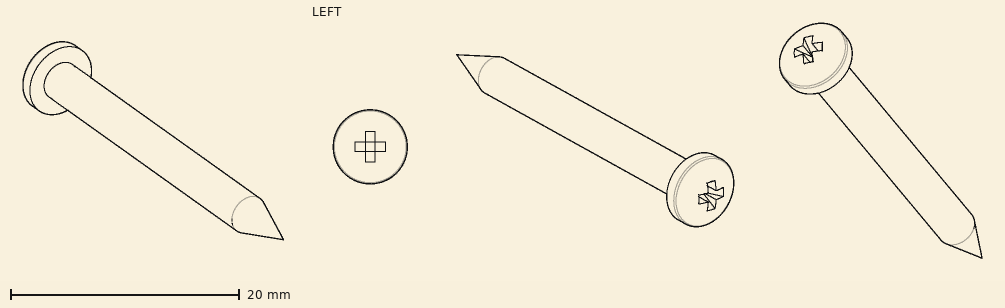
import cadquery as cq
import math

total_length = 37.35
shank_radius = 1.75
tip_length = 5.53
head_radius = 3.25
head_height = 2.3
dome_edge_x = 1.1
dome_edge_radius = 3.15
rim_start_x = 1.27

slot_width = 0.85
slot_length = 2.7
slot_depth = 2.05
center_cone_depth = 0.3

corner_radius = slot_width / math.sqrt(2)
sphere_center_x = (dome_edge_x**2 + dome_edge_radius**2 - corner_radius**2) / (2 * dome_edge_x)
sphere_radius = math.hypot(sphere_center_x, corner_radius)
crown_x = sphere_center_x - sphere_radius


def dome_x(radius):
    """X position of the dome surface at a distance from the axis."""
    return sphere_center_x - math.sqrt(sphere_radius**2 - radius**2)


def make_body():
    """Revolved head, shank and pointed tip."""
    middle_radius = dome_edge_radius / 2
    rim_bulge = 0.7
    rim_middle = (
        rim_start_x - rim_bulge * (rim_start_x - dome_edge_x),
        dome_edge_radius + rim_bulge * (head_radius - dome_edge_radius),
    )
    profile = (
        cq.Workplane("XY")
        .moveTo(crown_x, 0)
        .threePointArc((dome_x(middle_radius), middle_radius), (dome_edge_x, dome_edge_radius))
        .threePointArc(rim_middle, (rim_start_x, head_radius))
        .lineTo(head_height, head_radius)
        .lineTo(head_height, shank_radius)
        .lineTo(total_length - tip_length, shank_radius)
        .lineTo(total_length, 0)
        .close()
    )
    return profile.revolve(360, (0, 0, 0), (1, 0, 0))


def make_slot():
    """One arm pair along Y whose end walls slope in to the central square."""
    mouth_x = dome_x(slot_length / 2)
    outline = [
        (crown_x, -slot_length / 2),
        (mouth_x, -slot_length / 2),
        (slot_depth, -slot_width / 2),
        (slot_depth, slot_width / 2),
        (mouth_x, slot_length / 2),
        (crown_x, slot_length / 2),
    ]
    return cq.Workplane("XY").polyline(outline).close().extrude(slot_width / 2, both=True)


def make_recess():
    """Crossed slots with a square center whose bottom is a cone reaching the square's corners."""
    slot = make_slot()
    cone = (
        cq.Workplane("XY")
        .polyline([(slot_depth, 0), (slot_depth, corner_radius), (slot_depth + center_cone_depth, 0)])
        .close()
        .revolve(360, (0, 0, 0), (1, 0, 0))
    )
    center_square = cq.Workplane("YZ", origin=(slot_depth, 0, 0)).rect(slot_width, slot_width)
    bottom = cone.intersect(center_square.extrude(center_cone_depth))
    return slot.union(slot.rotate((0, 0, 0), (1, 0, 0), 90)).union(bottom)


result = make_body().cut(make_recess())